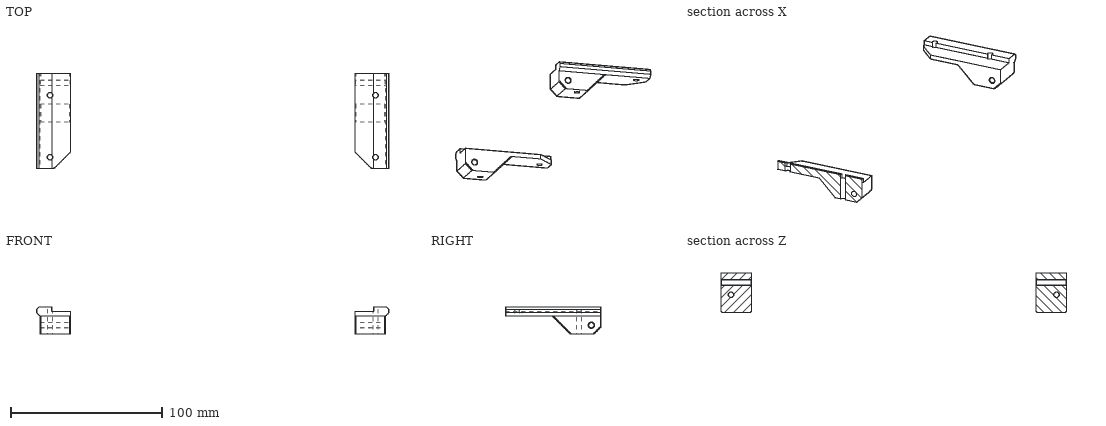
import cadquery as cq

overall_width = 233.0
total_height = 18.0

rail_length = 63.0
rail_height = 6.0
strip_width = 10.0
ledge_drop = 3.0
top_bevel = 1.6
bottom_bevel = 2.21
corner_cut = 11.0
corner_blend_radius = 2.3

rail_hole_diameter = 3.5
rail_hole_inset = 8.9
rail_hole_rear_offset = 14.5
rail_hole_spacing = 41.0

lug_width = 20.3
lug_bottom_front = 20.3
lug_rear_cut = 4.5
lug_edge_chamfer = 0.58

lug_hole_diameter = 3.5
countersink_diameter = 4.2
lug_hole_rear_offset = 6.3
lug_hole_height = 5.8

outer_x = -overall_width / 2
rail_width = bottom_bevel + lug_width
inner_x = outer_x + rail_width
lug_outer_x = outer_x + bottom_bevel
lug_height = total_height - rail_height
rear_y = rail_length / 2
front_y = rear_y - rail_length
lug_top_front = lug_bottom_front + lug_height


def make_rail():
    """Stepped rail with a bevelled outer edge, extruded from the rear to the front."""
    step_x = outer_x + strip_width
    ledge_z = total_height - ledge_drop
    profile = [
        (lug_outer_x, lug_height),
        (inner_x, lug_height),
        (inner_x, ledge_z),
        (step_x, ledge_z),
        (step_x, total_height),
        (outer_x + top_bevel, total_height),
        (outer_x, total_height - top_bevel),
        (outer_x, lug_height + bottom_bevel),
    ]
    rail = cq.Workplane("XZ", origin=(0, rear_y, 0)).polyline(profile).close().extrude(rail_length)
    return rail.intersect(make_rail_outline())


def make_rail_outline():
    """Plan outline of the rail, with the inner front corner cut off and blended."""
    outline = (
        cq.Workplane("XY")
        .polyline([
            (outer_x, rear_y),
            (inner_x, rear_y),
            (inner_x, front_y + corner_cut),
            (inner_x - corner_cut, front_y),
            (outer_x, front_y),
        ])
        .close()
        .extrude(total_height)
    )
    cut_face_direction = cq.Vector(1, -1, 0)
    cut_face = outline.faces(cq.selectors.DirectionSelector(cut_face_direction))
    return cut_face.edges("|Z").edges("<Y").fillet(corner_blend_radius)


def make_lug():
    """Lug with a 45 degree front slope and a cut lower rear corner."""
    profile = [
        (rear_y, lug_height),
        (rear_y, lug_rear_cut),
        (rear_y - lug_rear_cut, 0),
        (rear_y - lug_bottom_front, 0),
        (rear_y - lug_top_front, lug_height),
    ]
    lug = cq.Workplane("YZ", origin=(lug_outer_x, 0, 0)).polyline(profile).close().extrude(lug_width)
    sloped_faces = lug.faces("#X").faces("not(|Y or |Z)")
    side_edges = sloped_faces.edges("not(|X)")
    return side_edges.chamfer(lug_edge_chamfer)


def make_rail_holes():
    """Cylinders for the vertical holes along the step."""
    rear_hole_y = rear_y - rail_hole_rear_offset
    return (
        cq.Workplane("XY")
        .pushPoints([
            (outer_x + rail_hole_inset, rear_hole_y),
            (outer_x + rail_hole_inset, rear_hole_y - rail_hole_spacing),
        ])
        .circle(rail_hole_diameter / 2)
        .extrude(total_height)
    )


def make_lug_hole():
    """Cross bore through the lug with a 45 degree countersink at each side."""
    bore_radius = lug_hole_diameter / 2
    mouth_radius = countersink_diameter / 2
    countersink_depth = mouth_radius - bore_radius
    half_section = [
        (0, 0),
        (0, mouth_radius),
        (countersink_depth, bore_radius),
        (lug_width - countersink_depth, bore_radius),
        (lug_width, mouth_radius),
        (lug_width, 0),
    ]
    hole_start = (lug_outer_x, rear_y - lug_hole_rear_offset, lug_hole_height)
    return (
        cq.Workplane("XY", origin=hole_start)
        .polyline(half_section)
        .close()
        .revolve(360, (0, 0, 0), (1, 0, 0))
    )


def make_bracket(side):
    """Bracket in one piece with its holes; side is -1 for the left one, 1 for the right one."""
    bracket = make_rail().union(make_lug()).cut(make_rail_holes()).cut(make_lug_hole())
    if side > 0:
        bracket = bracket.mirror("YZ")
    return bracket.solids().val()


brackets = [make_bracket(side) for side in (-1, 1)]

result = cq.Compound.makeCompound(brackets)